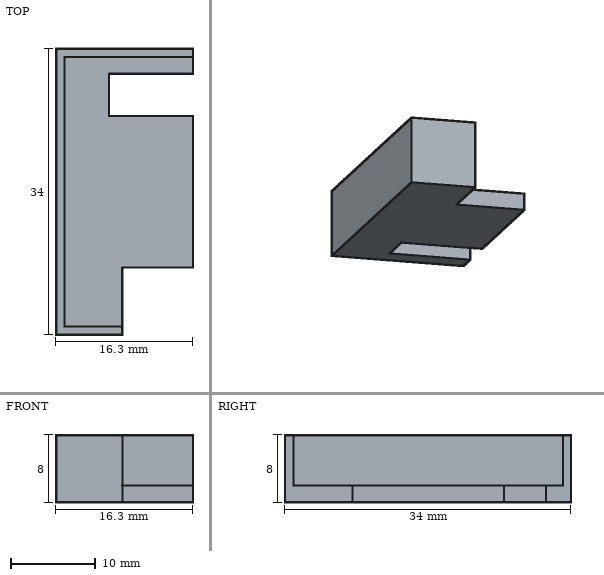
import cadquery as cq

width = 16.3
length = 34
height = 8.0

wall = 1.0
floor = 2.0

front_width = 7.9
notch_length = 8.0

slot_start_x = 6.3
slot_length = 5.0
slot_to_back = 3.0


def corner_box(x_size, y_size, z_size, x=0, y=0, z=0):
    """Box whose lowest corner is at (x, y, z)."""
    return cq.Workplane("XY").box(x_size, y_size, z_size, centered=False).translate((x, y, z))


block = corner_box(width, length, height)
cavity = corner_box(width - wall, length - 2 * wall, height - floor, wall, wall, floor)

front_notch = corner_box(width - front_width, notch_length, height, front_width)
slot_y = length - slot_to_back - slot_length
slot = corner_box(width - slot_start_x, slot_length, height, slot_start_x, slot_y)

result = block.cut(cavity).cut(front_notch).cut(slot)